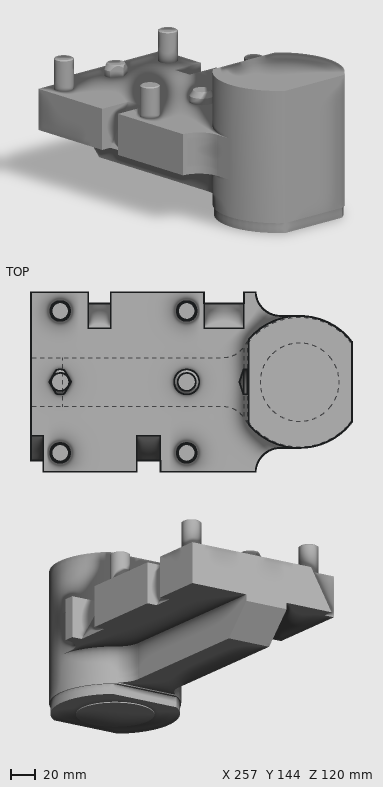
import cadquery as cq
import math

length = 257.0
width = 144.0
total_height = 120.0
cap_bottom = 0.8
drum_bottom = 9.3
bar_bottom = 10.0
plate_bottom = 40.3
plate_top = 74.8

drum_x = 214.9
drum_radius = 53.0
drum_left = 170.1
head_left = 174.2
cap_radius = 52.0
cap_half_length = 41.6
disc_diameter = 63.0

blend_radius = 19.8
plate_blend_x = 199.7

bar_half_width = 19.5
bar_chamfer = 25.0

front_notches = [(0, 9.8), (84.8, 103.5)]
back_notches = [(46.0, 63.7), (138.5, 170.5)]
notch_top_y = 43.2
notch_bottom_y = 63.0

pin_columns = [23.5, 124.6]
pin_y = 56.8
pin_diameter = 16.0
pin_top = 100.7
pin_chamfer_radial = 1.0
pin_chamfer_height = 0.8
locator_diameter = 20.0
locator_top = 84.8
locator_chamfer_radial = 2.8
locator_chamfer_height = 4.5
diamond_half_length = 8.7
diamond_angle = math.radians(30)

stub_diameter = 20.0
stub_end_x = 173.0
stub_chamfer = 0.8
seat_tip_x = 166.8
seat_cone_end_x = 170.1


def flatted_cylinder(radius, left, right, bottom, top):
    """Cylinder on the drum axis, trimmed by flats at two X positions."""
    height = top - bottom
    cylinder = cq.Workplane("XY", origin=(drum_x, 0, bottom)).circle(radius).extrude(height)
    trim = cq.Workplane("XY", origin=(left, 0, bottom)).box(
        right - left, 2 * radius, height, centered=(False, True, False)
    )
    return cylinder.intersect(trim)


def chamfered_peg(x, y, diameter, top, radial, height):
    """Upright peg on the plate with a conical tip."""
    radius = diameter / 2
    return (
        cq.Workplane("XZ", origin=(x, y, 0))
        .moveTo(0, plate_bottom)
        .lineTo(radius, plate_bottom)
        .lineTo(radius, top - height)
        .lineTo(radius - radial, top)
        .lineTo(0, top)
        .close()
        .revolve(360, (0, 0, 0), (0, 1, 0))
    )


def locator(x):
    return chamfered_peg(
        x, 0, locator_diameter, locator_top, locator_chamfer_radial, locator_chamfer_height
    )


def diamond_locator(x):
    """Round locator relieved by four slanted flats."""
    half_width = diamond_half_length / math.tan(diamond_angle)
    rhombus = (
        cq.Workplane("XY", origin=(x, 0, plate_bottom))
        .polyline([(-diamond_half_length, 0), (0, -half_width), (diamond_half_length, 0), (0, half_width)])
        .close()
        .extrude(locator_top - plate_bottom)
    )
    return locator(x).intersect(rhombus)


def plate():
    """Rectangular plate that necks down to the width of the drum through concave blends."""
    half_width = width / 2
    blend_y = drum_radius + blend_radius
    corner_x = plate_blend_x - math.sqrt(blend_radius**2 - (blend_y - half_width) ** 2)
    return (
        cq.Workplane("XY", origin=(0, 0, plate_bottom))
        .moveTo(0, -half_width)
        .lineTo(corner_x, -half_width)
        .radiusArc((plate_blend_x, -drum_radius), blend_radius)
        .lineTo(drum_x, -drum_radius)
        .lineTo(drum_x, drum_radius)
        .lineTo(plate_blend_x, drum_radius)
        .radiusArc((corner_x, half_width), blend_radius)
        .lineTo(0, half_width)
        .close()
        .extrude(plate_top - plate_bottom)
    )


def slanted_notch(start_x, end_x, side):
    """Edge notch whose inner wall slopes outward toward the plate bottom."""
    return (
        cq.Workplane("YZ", origin=(start_x, 0, 0))
        .moveTo(side * notch_top_y, plate_top)
        .lineTo(side * notch_bottom_y, plate_bottom)
        .lineTo(side * width / 2, plate_bottom)
        .lineTo(side * width / 2, plate_top)
        .close()
        .extrude(end_x - start_x)
    )


def lower_bar():
    """Bar blended tangentially into the drum, with a sloped free end."""
    blend_y = bar_half_width + blend_radius
    centre_distance = drum_radius + blend_radius
    blend_x = drum_x - math.sqrt(centre_distance**2 - blend_y**2)
    tangent_x = drum_x + (blend_x - drum_x) * drum_radius / centre_distance
    tangent_y = blend_y * drum_radius / centre_distance
    height = plate_bottom - bar_bottom
    body = (
        cq.Workplane("XY", origin=(0, 0, bar_bottom))
        .moveTo(0, -bar_half_width)
        .lineTo(blend_x, -bar_half_width)
        .radiusArc((tangent_x, -tangent_y), blend_radius)
        .lineTo(drum_x, 0)
        .lineTo(tangent_x, tangent_y)
        .radiusArc((blend_x, bar_half_width), blend_radius)
        .lineTo(0, bar_half_width)
        .close()
        .extrude(height)
    )
    return body.faces("<X").edges("<Z").chamfer(bar_chamfer)


def stub_seat():
    """Drilled hole with a conical tip, its axis lying in the plate surface."""
    return (
        cq.Workplane("XY", origin=(0, 0, plate_top))
        .moveTo(seat_tip_x, 0)
        .lineTo(seat_cone_end_x, stub_diameter / 2)
        .lineTo(head_left, stub_diameter / 2)
        .lineTo(head_left, 0)
        .close()
        .revolve(360, (0, 0, 0), (1, 0, 0))
    )


def stub():
    """Short round end that stands out from the flat of the head."""
    return (
        cq.Workplane("YZ", origin=(stub_end_x, 0, plate_top))
        .circle(stub_diameter / 2)
        .extrude(head_left - stub_end_x)
        .faces("<X")
        .chamfer(stub_chamfer)
    )


result = plate()
for side, notches in ((-1, front_notches), (1, back_notches)):
    for start_x, end_x in notches:
        result = result.cut(slanted_notch(start_x, end_x, side))

result = result.union(lower_bar())
result = result.union(flatted_cylinder(drum_radius, drum_left, length, drum_bottom, plate_top))
result = result.union(flatted_cylinder(drum_radius, head_left, length, plate_top, total_height))
cap_left = drum_x - cap_half_length
cap_right = drum_x + cap_half_length
result = result.union(flatted_cylinder(cap_radius, cap_left, cap_right, cap_bottom, drum_bottom))
disc = cq.Workplane("XY").center(drum_x, 0).circle(disc_diameter / 2).extrude(cap_bottom)
result = result.union(disc)

for x in pin_columns:
    for y in (-pin_y, pin_y):
        pin = chamfered_peg(x, y, pin_diameter, pin_top, pin_chamfer_radial, pin_chamfer_height)
        result = result.union(pin)
result = result.union(locator(pin_columns[1]))
result = result.union(diamond_locator(pin_columns[0]))

result = result.cut(stub_seat()).union(stub())